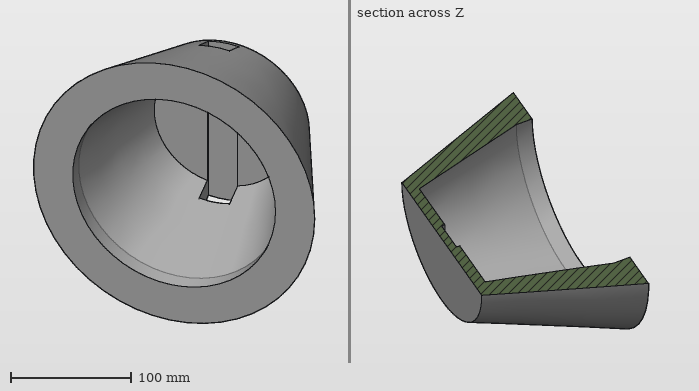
import cadquery as cq

length = 130.0
wide_diameter = 248.07
narrow_diameter = 146.5

mouth_diameter = 178.8
mouth_depth = 15.0
floor_diameter = 120.3
floor_thickness = 10.0

slot_width = 26.8
slot_depth = 23.0
slot_back_wall = 7.0

front_y = -length / 2
back_y = length / 2


def revolve_about_y(profile):
    """Spin a closed (radius, y) outline a full turn about the Y axis."""
    return cq.Workplane("XY").polyline(profile).close().revolve(360, (0, 0, 0), (0, 1, 0))


def make_body():
    return revolve_about_y([
        (0, front_y),
        (wide_diameter / 2, front_y),
        (narrow_diameter / 2, back_y),
        (0, back_y),
    ])


def make_cavity():
    floor_y = back_y - floor_thickness
    return revolve_about_y([
        (0, front_y),
        (mouth_diameter / 2, front_y),
        (mouth_diameter / 2, front_y + mouth_depth),
        (floor_diameter / 2, floor_y),
        (0, floor_y),
    ])


def make_slot():
    slot_center_y = back_y - slot_back_wall - slot_depth / 2
    slot = cq.Workplane("XY").box(slot_width, slot_depth, wide_diameter)
    return slot.translate((0, slot_center_y, 0))


result = make_body().cut(make_cavity()).cut(make_slot())